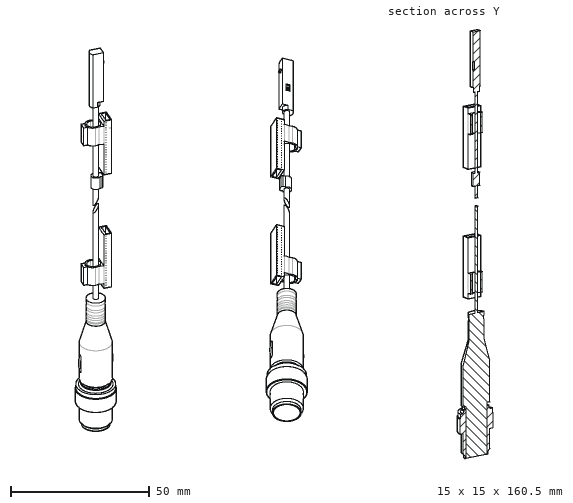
import cadquery as cq
import math

TOTAL_LENGTH = 160.5

CABLE_D = 2.1
CABLE_R = CABLE_D / 2
LOWER_CUT_Z = 92.9
UPPER_CUT_Z = 96.1
CUT_RISE = 1.8

SENSOR_LENGTH = 23.0
SENSOR_BOTTOM_Z = TOTAL_LENGTH - SENSOR_LENGTH
SENSOR_WIDTH = 3.4
SENSOR_HALF_WIDTH = SENSOR_WIDTH / 2
SENSOR_D = 4.8
SENSOR_R = SENSOR_D / 2
BUTTON_D = 1.43
BUTTON_Z = 155.6
BUTTON_RISE = 0.5
WINDOW_WIDTH = 1.6
WINDOW_HEIGHT = 2.9
WINDOW_DEPTH = 0.6
WINDOW_Y = 0.2
WINDOW_Z = 147.6
LAMP_D = 1.0
LAMP_RISE = 0.3
NOTCH_HEIGHT = 2.0
NOTCH_Y = 0.2
STRAIN_RELIEF_R = 1.6

SLEEVE_D = 3.5
SLEEVE_BOTTOM_Z = 102.0
SLEEVE_HEIGHT = 5.0
KEY_HALF_WIDTH = 1.36
KEY_BACK_Y = 2.5
KEY_CHAMFER = 0.56

CLIP_WIDTH = 5.6
CLIP_R = CLIP_WIDTH / 2
PLATE_LENGTH = 23.1
PLATE_FRONT_Y = 2.1
PLATE_BACK_Y = 5.1
PLATE_FRONT_WALL = 1.0
PLATE_BACK_WALL = 0.5
PLATE_SIDE_WALL = 0.5
GRIP_HEIGHT = 7.7
GRIP_INSET = 2.1
WAIST_Y = 0.24
WAIST_HALF_WIDTH = 2.5
GRIP_ARC_Y = -1.2
GRIP_HOLE_WIDTH = 4.2
GRIP_HOLE_BACK_Y = 1.8
GRIP_SLIT_WIDTH = 1.0
GRIP_SLIT_FRONT_Y = -4.0
NOSE_HALF_WIDTH = 1.36
NOSE_FRONT_Y = -5.1
UPPER_CLIP_Z = 108.5
LOWER_CLIP_Z = 59.5

PLUG_D = 12.0
COLLAR_D = 9.6
COLLAR_TOP_Z = 19.5
SHOULDER_Z = 35.3
CONE_TOP_Z = 44.3
CONE_TOP_D = 6.9
NECK_TOP_Z = 54.2
NECK_D = 7.0
NECK_R = NECK_D / 2
GROOVE_R = 2.9
GROOVES = [(45.2, 45.7), (46.7, 47.7), (48.6, 50.0), (51.0, 53.0)]
GRIP_RIB_D = 1.8
GRIP_RIB_RISE = 0.56
GRIP_RIB_SAG = 0.5
GRIP_RIB_CREST_R = 1.3
GRIP_RIB_BOTTOM_Z = 23.6
GRIP_RIB_TOP_Z = 31.0

NUT_D = 15.0
NUT_SHOULDER_D = 14.5
NUT_TOP_Z = 18.5
NUT_TOP_D = 11.2
NUT_CONE_TOP_Z = 18.0
NUT_CONE_D = 12.5
NUT_LEDGE_Z = 17.2
RIM_TOP_Z = 15.5
RIM_BOTTOM_Z = 9.5
RIM_CHAMFER = (NUT_D - NUT_SHOULDER_D) / 2
THREAD_END_Z = 2.0
TIP_D = 10.5
TIP_TOP_Z = THREAD_END_Z - (PLUG_D - TIP_D) / 2


def cylinder(radius, bottom, top):
    """Cylinder about the cable axis."""
    return cq.Workplane("XY").workplane(offset=bottom).circle(radius).extrude(top - bottom)


def block(x_min, x_max, y_min, y_max, z_min, z_max):
    """Box given by its limits."""
    size = (x_max - x_min, y_max - y_min, z_max - z_min)
    return cq.Workplane("XY").box(*size, centered=False).translate((x_min, y_min, z_min))


def cable_between(bottom, top, slanted_z, keep_above):
    """Cable with one end cut slantwise; the cut is higher at the back (+Y)."""
    slope = CUT_RISE / CABLE_R
    reach = 2 * CABLE_R
    far_z = top if keep_above else bottom
    side = (
        cq.Workplane("YZ")
        .polyline(
            [
                (-reach, far_z),
                (-reach, slanted_z - slope * reach),
                (reach, slanted_z + slope * reach),
                (reach, far_z),
            ]
        )
        .close()
        .extrude(reach, both=True)
    )
    return cylinder(CABLE_R, bottom, top).intersect(side)


def sensor_housing():
    flat_end_y = -math.sqrt(SENSOR_R**2 - SENSOR_HALF_WIDTH**2)
    housing = (
        cq.Workplane("XY")
        .workplane(offset=SENSOR_BOTTOM_Z)
        .moveTo(-SENSOR_HALF_WIDTH, SENSOR_R)
        .lineTo(-SENSOR_HALF_WIDTH, flat_end_y)
        .threePointArc((0, -SENSOR_R), (SENSOR_HALF_WIDTH, flat_end_y))
        .lineTo(SENSOR_HALF_WIDTH, SENSOR_R)
        .close()
        .extrude(SENSOR_LENGTH)
    )
    notch_top = SENSOR_BOTTOM_Z + NOTCH_HEIGHT
    notch = block(
        -SENSOR_HALF_WIDTH, SENSOR_HALF_WIDTH, NOTCH_Y, SENSOR_R, SENSOR_BOTTOM_Z, notch_top
    ).cut(cylinder(STRAIN_RELIEF_R, SENSOR_BOTTOM_Z, notch_top))
    window = block(
        -SENSOR_HALF_WIDTH,
        WINDOW_DEPTH - SENSOR_HALF_WIDTH,
        WINDOW_Y - WINDOW_WIDTH / 2,
        WINDOW_Y + WINDOW_WIDTH / 2,
        WINDOW_Z - WINDOW_HEIGHT / 2,
        WINDOW_Z + WINDOW_HEIGHT / 2,
    )
    lamp = (
        cq.Workplane("YZ", origin=(WINDOW_DEPTH - SENSOR_HALF_WIDTH, WINDOW_Y, WINDOW_Z))
        .circle(LAMP_D / 2)
        .extrude(-LAMP_RISE)
    )
    button = (
        cq.Workplane("XZ", origin=(0, SENSOR_R + BUTTON_RISE, BUTTON_Z))
        .circle(BUTTON_D / 2)
        .extrude(2 * BUTTON_RISE)
    )
    return housing.cut(notch).cut(window).union(lamp).union(button)


def cable_sleeve():
    top = SLEEVE_BOTTOM_Z + SLEEVE_HEIGHT
    key = (
        block(-KEY_HALF_WIDTH, KEY_HALF_WIDTH, 0, KEY_BACK_Y, SLEEVE_BOTTOM_Z, top)
        .edges("|Z and >Y")
        .chamfer(KEY_CHAMFER)
    )
    return cylinder(SLEEVE_D / 2, SLEEVE_BOTTOM_Z, top).union(key)


def make_sensor():
    """Sensor moulded onto its cable, with the sleeve near the cut end."""
    cable = cable_between(UPPER_CUT_Z - CUT_RISE, SENSOR_BOTTOM_Z, UPPER_CUT_Z, keep_above=True)
    return cable.union(cable_sleeve()).union(sensor_housing())


def clip_grip():
    """Waisted grip passing loosely round the cable, with a rounded front and a square nose."""
    grip = (
        cq.Workplane("XY")
        .moveTo(-CLIP_R, PLATE_FRONT_Y)
        .lineTo(-WAIST_HALF_WIDTH, WAIST_Y)
        .lineTo(-CLIP_R, GRIP_ARC_Y)
        .threePointArc((0, GRIP_ARC_Y - CLIP_R), (CLIP_R, GRIP_ARC_Y))
        .lineTo(WAIST_HALF_WIDTH, WAIST_Y)
        .lineTo(CLIP_R, PLATE_FRONT_Y)
        .close()
        .extrude(GRIP_HEIGHT)
    )
    nose = block(-NOSE_HALF_WIDTH, NOSE_HALF_WIDTH, NOSE_FRONT_Y, GRIP_ARC_Y, 0, GRIP_HEIGHT)
    hole_r = GRIP_HOLE_WIDTH / 2
    back_arc_y = GRIP_HOLE_BACK_Y - hole_r
    hole = (
        cq.Workplane("XY")
        .center(0, (GRIP_ARC_Y + back_arc_y) / 2)
        .slot2D(back_arc_y - GRIP_ARC_Y + GRIP_HOLE_WIDTH, GRIP_HOLE_WIDTH, 90)
        .extrude(GRIP_HEIGHT)
    )
    half_slit = GRIP_SLIT_WIDTH / 2
    slit = block(-half_slit, half_slit, GRIP_SLIT_FRONT_Y, GRIP_ARC_Y, 0, GRIP_HEIGHT)
    return grip.union(nose).cut(hole).cut(slit)


def make_clip(bottom, grip_offset):
    """Hollow label plate, open at both ends, with its grip."""
    plate = block(-CLIP_R, CLIP_R, PLATE_FRONT_Y, PLATE_BACK_Y, 0, PLATE_LENGTH)
    label_slot = block(
        PLATE_SIDE_WALL - CLIP_R,
        CLIP_R - PLATE_SIDE_WALL,
        PLATE_FRONT_Y + PLATE_FRONT_WALL,
        PLATE_BACK_Y - PLATE_BACK_WALL,
        0,
        PLATE_LENGTH,
    )
    grip = clip_grip().translate((0, 0, grip_offset))
    return plate.cut(label_slot).union(grip).translate((0, 0, bottom))


def ring_groove(bottom, top):
    """Ring with a hollow round floor, to be cut from the plug's neck."""
    half_height = (top - bottom) / 2
    floor_r = NECK_R - GROOVE_R + math.sqrt(GROOVE_R**2 - half_height**2)
    return (
        cq.Workplane("XZ")
        .moveTo(NECK_R, bottom)
        .threePointArc((floor_r, (bottom + top) / 2), (NECK_R, top))
        .close()
        .revolve(360, (0, 0, 0), (0, 1, 0))
    )


def grip_rib(side):
    """Rib along the plug with a bulging, rounded crest; side is -1 for the front, 1 for the back."""
    length = GRIP_RIB_TOP_Z - GRIP_RIB_BOTTOM_Z
    middle_z = (GRIP_RIB_TOP_Z + GRIP_RIB_BOTTOM_Z) / 2
    crest_y = PLUG_D / 2 + GRIP_RIB_RISE
    bulge_r = ((length / 2) ** 2 + GRIP_RIB_SAG**2) / (2 * GRIP_RIB_SAG)
    outline = (
        cq.Workplane("XZ", origin=(0, 0, middle_z))
        .slot2D(length, GRIP_RIB_D, 90)
        .extrude(-side * (PLUG_D / 2 + 2 * GRIP_RIB_RISE))
    )
    crest = cq.Workplane(
        cq.Solid.makeTorus(
            bulge_r - GRIP_RIB_CREST_R,
            GRIP_RIB_CREST_R,
            cq.Vector(0, side * (crest_y - bulge_r), middle_z),
            cq.Vector(1, 0, 0),
        )
    )
    back_half = block(-PLUG_D, PLUG_D, 0, PLUG_D, 0, TOTAL_LENGTH)
    near_side = back_half if side > 0 else back_half.mirror("XZ")
    return outline.intersect(crest).intersect(near_side)


def make_plug():
    """Plug moulded onto its cable; its collar runs down through the nut."""
    plug = (
        cq.Workplane("XZ")
        .polyline(
            [
                (0, 0),
                (COLLAR_D / 2, 0),
                (COLLAR_D / 2, COLLAR_TOP_Z),
                (PLUG_D / 2, COLLAR_TOP_Z),
                (PLUG_D / 2, SHOULDER_Z),
                (CONE_TOP_D / 2, CONE_TOP_Z),
                (NECK_R, CONE_TOP_Z),
                (NECK_R, NECK_TOP_Z),
                (0, NECK_TOP_Z),
            ]
        )
        .close()
        .revolve(360, (0, 0, 0), (0, 1, 0))
    )
    for bottom, top in GROOVES:
        plug = plug.cut(ring_groove(bottom, top))
    for side in (-1, 1):
        plug = plug.union(grip_rib(side))
    cable = cable_between(NECK_TOP_Z, LOWER_CUT_Z + CUT_RISE, LOWER_CUT_Z, keep_above=False)
    return plug.union(cable)


def make_nut():
    """Coupling nut with a thick rim, a threaded shank and a plain tip."""
    return (
        cq.Workplane("XZ")
        .polyline(
            [
                (COLLAR_D / 2, 0),
                (TIP_D / 2, 0),
                (TIP_D / 2, TIP_TOP_Z),
                (PLUG_D / 2, THREAD_END_Z),
                (PLUG_D / 2, RIM_BOTTOM_Z),
                (NUT_SHOULDER_D / 2, RIM_BOTTOM_Z),
                (NUT_D / 2, RIM_BOTTOM_Z + RIM_CHAMFER),
                (NUT_D / 2, RIM_TOP_Z - RIM_CHAMFER),
                (NUT_SHOULDER_D / 2, RIM_TOP_Z),
                (NUT_SHOULDER_D / 2, NUT_LEDGE_Z),
                (NUT_CONE_D / 2, NUT_LEDGE_Z),
                (NUT_TOP_D / 2, NUT_CONE_TOP_Z),
                (NUT_TOP_D / 2, NUT_TOP_Z),
                (COLLAR_D / 2, NUT_TOP_Z),
            ]
        )
        .close()
        .revolve(360, (0, 0, 0), (0, 1, 0))
    )


sensor = make_sensor()
plug = make_plug()
nut = make_nut()
clips = [
    make_clip(UPPER_CLIP_Z, PLATE_LENGTH - GRIP_INSET - GRIP_HEIGHT),
    make_clip(LOWER_CLIP_Z, GRIP_INSET),
]

result = cq.Compound.makeCompound(
    [sensor.val(), plug.val(), nut.val(), *[clip.val() for clip in clips]]
)